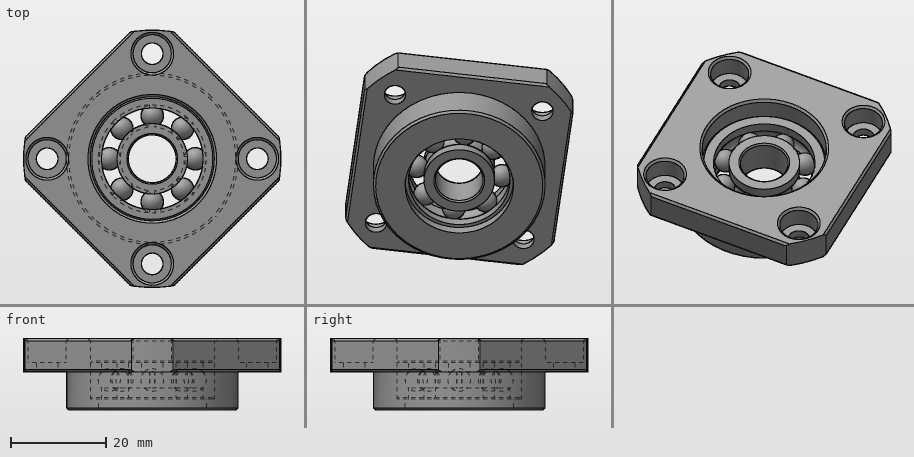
import cadquery as cq
import math

total_height = 15.0
flange_diameter = 53.95
flange_thickness = 7.0
edge_chamfer = 0.5

corner_count = 4
flat_distance = 22.0
flat_end_offset = 4.65
corner_bevel_angle = 27.3

boss_diameter = 36.0

hole_circle_radius = 22.0
hole_diameter = 4.5
counterbore_diameter = 8.0
counterbore_depth = 5.0

bearing_diameter = 26.0
bearing_width = 8.0
bearing_depth = 4.7
outer_race_inner_diameter = 21.25
inner_race_outer_diameter = 14.8
shaft_diameter = 10.0
race_chamfer = 0.3
ball_count = 8
ball_radius = 2.4
ball_seat_depth = 0.05

lip_opening_diameter = 22.65

bearing_top = -bearing_depth
bearing_bottom = bearing_top - bearing_width
bearing_middle = bearing_top - bearing_width / 2
ball_circle_radius = (outer_race_inner_diameter + inner_race_outer_diameter) / 4
groove_radius = ball_radius - ball_seat_depth


def cylinder(diameter, top, height):
    """Upright cylinder on the Z axis, given by its top level and height."""
    return cq.Workplane("XY").workplane(offset=top).circle(diameter / 2).extrude(-height)


def flange_block():
    """Square block on its corner, with its top and bottom edges chamfered."""
    side = 2 * flat_distance
    block = cq.Workplane("XY").rect(side, side).extrude(-flange_thickness)
    block = block.faces("|Z").edges().chamfer(edge_chamfer)
    return block.rotate((0, 0, 0), (0, 0, 1), 45)


def corner_bevel_prism():
    """Prism whose blunt tips bevel the edges between the flats and the round corners."""
    flat_end_reach = math.sqrt(2) * flat_distance - flat_end_offset
    tip_reach = flat_end_reach + flat_end_offset * math.tan(math.radians(corner_bevel_angle))
    points = []
    for corner in range(corner_count):
        axis_angle = 2 * math.pi * corner / corner_count
        for along, across in (
            (flat_end_reach, -flat_end_offset),
            (tip_reach, 0),
            (flat_end_reach, flat_end_offset),
        ):
            x = along * math.cos(axis_angle) - across * math.sin(axis_angle)
            y = along * math.sin(axis_angle) + across * math.cos(axis_angle)
            points.append((x, y))
    return cq.Workplane("XY").polyline(points).close().extrude(-flange_thickness)


def make_flange():
    disc = cylinder(flange_diameter, 0, flange_thickness)
    return disc.intersect(flange_block()).intersect(corner_bevel_prism())


def make_boss():
    boss = cylinder(boss_diameter, 0, total_height)
    return boss.faces("<Z").edges().chamfer(edge_chamfer)


def mouth_cutter(diameter, depth):
    """Round pocket from z = 0 down, with a chamfered mouth."""
    radius = diameter / 2
    profile = [
        (0, 0),
        (radius + edge_chamfer, 0),
        (radius, -edge_chamfer),
        (radius, -depth),
        (0, -depth),
    ]
    return cq.Workplane("XZ").polyline(profile).close().revolve(360, (0, 0, 0), (0, 1, 0))


def make_housing():
    housing = make_flange().union(make_boss())

    housing = housing.cut(mouth_cutter(bearing_diameter, -bearing_bottom))
    housing = housing.cut(cylinder(lip_opening_diameter, 0, total_height))

    mounting_hole = mouth_cutter(counterbore_diameter, counterbore_depth)
    mounting_hole = mounting_hole.union(cylinder(hole_diameter, 0, flange_thickness))
    for corner in range(corner_count):
        angle = 2 * math.pi * corner / corner_count
        place = (hole_circle_radius * math.cos(angle), hole_circle_radius * math.sin(angle), 0)
        housing = housing.cut(mounting_hole.translate(place))
    return housing


def make_bearing():
    """Outer race, inner race and the balls that sit in their grooves, as one solid."""
    outer_race = cylinder(bearing_diameter, bearing_top, bearing_width)
    outer_race = outer_race.edges().chamfer(race_chamfer)
    outer_race = outer_race.cut(cylinder(outer_race_inner_diameter, bearing_top, bearing_width))

    inner_race = cylinder(inner_race_outer_diameter, bearing_top, bearing_width)
    inner_race = inner_race.cut(cylinder(shaft_diameter, bearing_top, bearing_width))
    inner_race = inner_race.edges(cq.selectors.RadiusNthSelector(0)).chamfer(race_chamfer)

    groove = cq.Workplane("XY").add(
        cq.Solid.makeTorus(ball_circle_radius, groove_radius, cq.Vector(0, 0, bearing_middle))
    )
    bearing = outer_race.union(inner_race).cut(groove)

    for index in range(ball_count):
        angle = 2 * math.pi * index / ball_count
        x = ball_circle_radius * math.cos(angle)
        y = ball_circle_radius * math.sin(angle)
        ball = cq.Workplane("XY").sphere(ball_radius).translate((x, y, bearing_middle))
        bearing = bearing.union(ball)
    return bearing


housing = make_housing()
bearing = make_bearing()

result = cq.Compound.makeCompound([housing.solids().val(), bearing.solids().val()])